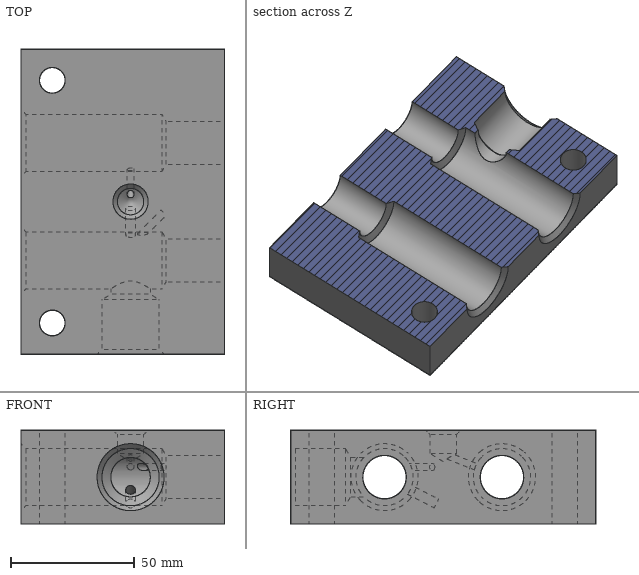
import cadquery as cq
import math

LENGTH_X = 82.55
LENGTH_Y = 123.825
HEIGHT = 38.1

DRILL_POINT_ANGLE = 118

PORT_MOUTH_DIAMETER = 27.2
PORT_DIAMETER = 23.2

CROSS_BORE_DIAMETER = 17.5
CROSS_BORE_LENGTH = 25.4
CROSS_PORT_DEPTH = LENGTH_X - CROSS_BORE_LENGTH
CROSS_BORE_OFFSET_Y = 23.8125

END_BORE_DIAMETER = 16.0
END_PORT_DEPTH = 22.2
CENTRE_X = 3.175

GAUGE_MOUTH_DIAMETER = 14.3
GAUGE_DIAMETER = 10.7
GAUGE_DEPTH = 9.5

MOUNT_DIAMETER = 10.3
MOUNT_INSET = 12.7

GAUGE_DRILLING_DIAMETER = 2.78
GAUGE_DRILLING_START_Y = 3.1
GAUGE_DRILLING_LEAD_IN = 0.1
LOWER_DRILLING_DIAMETER = 3.97
LOWER_DRILLING_HEIGHT = -5.25
SIDE_DRILLING_DIAMETER = 3.0
SIDE_DRILLING_X = 8.1
SIDE_DRILLING_HEIGHT = 4.1
SIDE_DRILLING_ANGLE = 45
DRILLING_DEPTH = 12.0


def cone_depth(large_diameter, small_diameter):
    """Depth over which a drill point narrows between two diameters."""
    return (large_diameter - small_diameter) / 2 / math.tan(math.radians(DRILL_POINT_ANGLE / 2))


def countersunk_bore(start, direction, mouth_diameter, diameter, depth):
    """Cutter with a 45 degree mouth and a full drill point, starting on a face."""
    profile = [
        (0, 0),
        (mouth_diameter / 2, 0),
        (diameter / 2, (mouth_diameter - diameter) / 2),
        (diameter / 2, depth),
        (0, depth + cone_depth(diameter, 0)),
    ]
    section = cq.Workplane("XZ").polyline(profile).close()
    cutter = section.revolve(360, (0, 0, 0), (0, 1, 0)).val()
    return cutter.moved(cq.Plane(origin=start, normal=direction).location)


def drilling(start, direction, diameter, depth):
    """Plain round cutter from a point along a direction."""
    return cq.Solid.makeCylinder(diameter / 2, depth, cq.Vector(*start), cq.Vector(*direction))


def cross_bore(y):
    """Deep port from the -X face and the narrower bore beyond it."""
    start = (-LENGTH_X / 2, y, 0)
    direction = (1, 0, 0)
    port = countersunk_bore(start, direction, PORT_MOUTH_DIAMETER, PORT_DIAMETER, CROSS_PORT_DEPTH)
    return port.fuse(drilling(start, direction, CROSS_BORE_DIAMETER, LENGTH_X))


def end_bore():
    """Ported bore from the -Y face to the axis of the nearer cross bore."""
    start = (CENTRE_X, -LENGTH_Y / 2, 0)
    direction = (0, 1, 0)
    port = countersunk_bore(start, direction, PORT_MOUTH_DIAMETER, PORT_DIAMETER, END_PORT_DEPTH)
    return port.fuse(drilling(start, direction, END_BORE_DIAMETER, LENGTH_Y / 2 - CROSS_BORE_OFFSET_Y))


def gauge_port():
    """Blind port in the top face."""
    start = (CENTRE_X, 0, HEIGHT / 2)
    return countersunk_bore(start, (0, 0, -1), GAUGE_MOUTH_DIAMETER, GAUGE_DIAMETER, GAUGE_DEPTH)


def gauge_drilling():
    """Sloping passage from the gauge port to the axis of the +Y cross bore."""
    start_depth = GAUGE_DEPTH + cone_depth(GAUGE_DIAMETER, 2 * GAUGE_DRILLING_START_Y)
    start_z = HEIGHT / 2 - start_depth
    run = CROSS_BORE_OFFSET_Y - GAUGE_DRILLING_START_Y
    lead_in_y = GAUGE_DRILLING_LEAD_IN * run
    lead_in_z = GAUGE_DRILLING_LEAD_IN * start_z
    start = (CENTRE_X, GAUGE_DRILLING_START_Y - lead_in_y, start_z + lead_in_z)
    length = math.hypot(run + lead_in_y, start_z + lead_in_z)
    return drilling(start, (0, run, -start_z), GAUGE_DRILLING_DIAMETER, length)


def lower_drilling():
    """Blind drilling from the axis of the -Y cross bore, sloping down towards +Y."""
    wall_radius = PORT_DIAMETER / 2
    wall_run = math.sqrt(wall_radius**2 - LOWER_DRILLING_HEIGHT**2)
    start = (CENTRE_X, -CROSS_BORE_OFFSET_Y, 0)
    direction = (0, wall_run, LOWER_DRILLING_HEIGHT)
    return drilling(start, direction, LOWER_DRILLING_DIAMETER, wall_radius + DRILLING_DEPTH)


def side_drilling():
    """Blind level drilling from inside the -Y cross bore towards +X and +Y."""
    angle = math.radians(SIDE_DRILLING_ANGLE)
    wall_run = math.sqrt((PORT_DIAMETER / 2) ** 2 - SIDE_DRILLING_HEIGHT**2)
    start = (SIDE_DRILLING_X - wall_run * math.tan(angle), -CROSS_BORE_OFFSET_Y, SIDE_DRILLING_HEIGHT)
    direction = (math.sin(angle), math.cos(angle), 0)
    return drilling(start, direction, SIDE_DRILLING_DIAMETER, wall_run / math.cos(angle) + DRILLING_DEPTH)


def mounting_hole(y):
    """Plain hole through the height."""
    start = (-LENGTH_X / 2 + MOUNT_INSET, y, -HEIGHT / 2)
    return drilling(start, (0, 0, 1), MOUNT_DIAMETER, HEIGHT)


result = cq.Workplane("XY").box(LENGTH_X, LENGTH_Y, HEIGHT)
for side in (-1, 1):
    result = result.cut(cq.Workplane(cross_bore(side * CROSS_BORE_OFFSET_Y)))
    result = result.cut(cq.Workplane(mounting_hole(side * (LENGTH_Y / 2 - MOUNT_INSET))))
for cutter in (end_bore(), gauge_port(), gauge_drilling(), lower_drilling(), side_drilling()):
    result = result.cut(cq.Workplane(cutter))